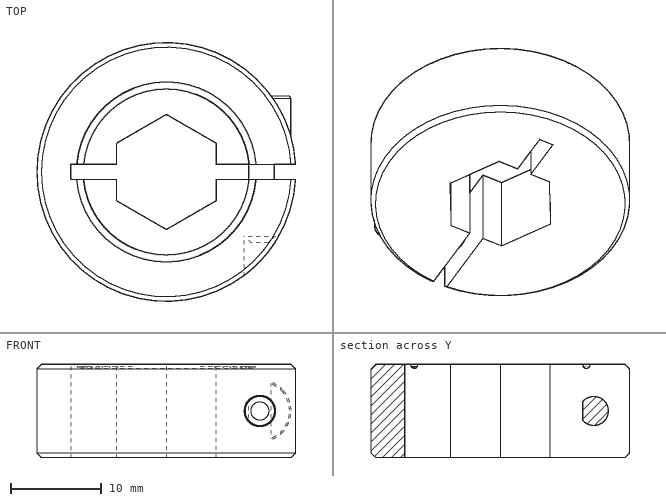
import cadquery as cq
import math

OUTER_DIAMETER = 28.55
HEIGHT = 10.3
EDGE_CHAMFER = 0.5
HEX_ACROSS_FLATS = 10.97

SLOT_WIDTH = 1.65
SLOT_INNER_REACH = 10.55

GROOVE_INNER_RADIUS = 9.15
GROOVE_OUTER_RADIUS = 9.95
GROOVE_WALL_DEPTH = 0.23
GROOVE_WALL_TAPER = 0.05
GROOVE_DEPTH = 0.45

SCREW_X = 10.3
SHANK_DIAMETER = 3.23
SHANK_RELIEF_RADIUS = 9.08
HEAD_DIAMETER = 6.85
HEAD_TOP_Y = 8.4
HEAD_LENGTH = 4.85
HEAD_CHAMFER_LENGTH = 0.29
HEAD_CHAMFER_RADIAL = 0.17
TIP_HOLE_DIAMETER = 3.45
TIP_DIAMETER = 2.0
TIP_CONE_START_Y = -7.15


def cylinder_along_y(diameter, y_start, y_end):
    """Cylinder on the screw axis between two Y positions."""
    return cq.Workplane(
        cq.Solid.makeCylinder(
            diameter / 2, y_end - y_start, cq.Vector(SCREW_X, y_start, 0), cq.Vector(0, 1, 0)
        )
    )


def make_ring():
    """Chamfered ring with a hexagonal bore whose corners point along Y."""
    ring = cq.Workplane("XY").circle(OUTER_DIAMETER / 2).extrude(HEIGHT / 2, both=True)
    ring = ring.faces("|Z").edges().chamfer(EDGE_CHAMFER)
    across_corners = HEX_ACROSS_FLATS / math.cos(math.radians(30))
    bore = (
        cq.Workplane("XY")
        .transformed(rotate=(0, 0, 90))
        .polygon(6, across_corners)
        .extrude(HEIGHT, both=True)
    )
    return ring.cut(bore)


def make_slot():
    """Slot that cuts through the +X side and ends inside the -X side."""
    length = SLOT_INNER_REACH + OUTER_DIAMETER
    return cq.Workplane("XY").box(length, SLOT_WIDTH, 2 * HEIGHT).translate(
        (length / 2 - SLOT_INNER_REACH, 0, 0)
    )


def make_groove():
    """Annular cutter with slightly tapered walls above a rounded bottom."""
    center_radius = (GROOVE_INNER_RADIUS + GROOVE_OUTER_RADIUS) / 2
    top_z = HEIGHT / 2
    wall_bottom_z = top_z - GROOVE_WALL_DEPTH
    return (
        cq.Workplane("XZ")
        .moveTo(GROOVE_INNER_RADIUS, top_z)
        .lineTo(GROOVE_INNER_RADIUS + GROOVE_WALL_TAPER, wall_bottom_z)
        .threePointArc(
            (center_radius, top_z - GROOVE_DEPTH),
            (GROOVE_OUTER_RADIUS - GROOVE_WALL_TAPER, wall_bottom_z),
        )
        .lineTo(GROOVE_OUTER_RADIUS, top_z)
        .close()
        .revolve(360, (0, 0, 0), (0, 1, 0))
    )


def make_head():
    """Screw head with a chamfered rim, partly sunk into the ring."""
    base_y = HEAD_TOP_Y - HEAD_LENGTH
    head = cylinder_along_y(HEAD_DIAMETER, base_y, HEAD_TOP_Y)
    return head.faces(">Y").edges().chamfer(HEAD_CHAMFER_LENGTH, HEAD_CHAMFER_RADIAL)


def make_shank():
    """Shank bridging the slot, trimmed by a cylinder around the collar axis."""
    shank = cylinder_along_y(SHANK_DIAMETER, -SLOT_WIDTH, SLOT_WIDTH)
    gap = cq.Workplane("XY").box(2 * OUTER_DIAMETER, SLOT_WIDTH, HEIGHT)
    relief = cq.Workplane("XY").circle(SHANK_RELIEF_RADIUS).extrude(HEIGHT / 2, both=True)
    return shank.cut(relief.intersect(gap))


def make_tip():
    """45 degree conical screw tip pointing towards -Y."""
    cone_length = (SHANK_DIAMETER - TIP_DIAMETER) / 2
    return cq.Workplane(
        cq.Solid.makeCone(
            SHANK_DIAMETER / 2,
            TIP_DIAMETER / 2,
            cone_length,
            cq.Vector(SCREW_X, TIP_CONE_START_Y, 0),
            cq.Vector(0, -1, 0),
        )
    )


tip_hole = cylinder_along_y(TIP_HOLE_DIAMETER, -OUTER_DIAMETER, TIP_CONE_START_Y)

collar = make_ring().cut(make_groove()).cut(make_slot()).cut(tip_hole)
result = collar.union(make_head()).union(make_shank()).union(make_tip())